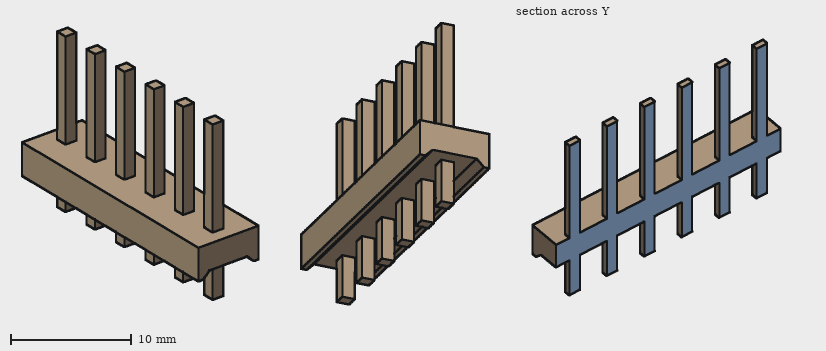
import cadquery as cq

pin_count = 6
pin_pitch = 3.962
pin_width = 1.14
pin_above_body = 10.16
pin_below_body = 3.175

end_margin = 1.98
body_length = (pin_count - 1) * pin_pitch + 2 * end_margin
body_width = 6.35
body_height = 3.175

channel_depth = 0.66
foot_width = 0.508
channel_mouth_width = body_width - 2 * foot_width
channel_roof_width = channel_mouth_width - 2 * channel_depth


def make_body():
    """Rectangular bar with a sloped-side channel running along its underside."""
    bar = cq.Workplane("XY").box(body_length, body_width, body_height, centered=(True, True, False))
    channel = (
        cq.Workplane("YZ")
        .moveTo(-channel_mouth_width / 2, 0)
        .lineTo(-channel_roof_width / 2, channel_depth)
        .lineTo(channel_roof_width / 2, channel_depth)
        .lineTo(channel_mouth_width / 2, 0)
        .close()
        .extrude(body_length / 2, both=True)
    )
    return bar.cut(channel)


def make_pins():
    """Row of square pins passing through the body."""
    pin_length = pin_below_body + body_height + pin_above_body
    return (
        cq.Workplane("XY", origin=(0, 0, -pin_below_body))
        .rarray(pin_pitch, 1, pin_count, 1)
        .rect(pin_width, pin_width)
        .extrude(pin_length)
    )


result = make_body().union(make_pins())